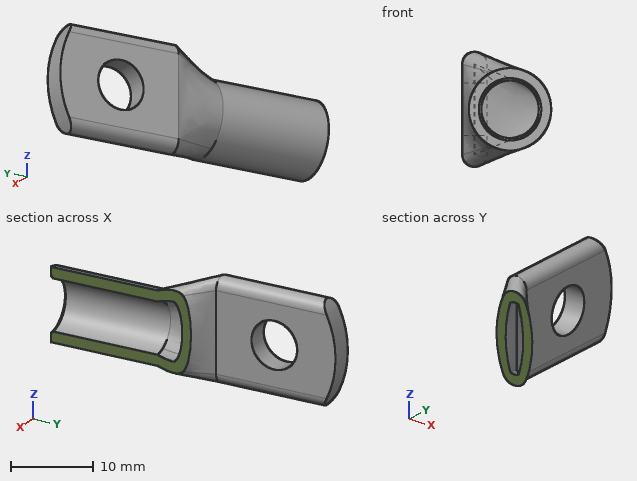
import cadquery as cq
import math

total_length = 38.6
tube_diameter = 10.05
bore_diameter = 7.0
tube_length = 15.0
mouth_diameter = 7.6
mouth_chamfer = (mouth_diameter - bore_diameter) / 2

palm_length = 16.8
palm_width = 14.0
wall = 1.5
palm_thickness = 2 * wall
palm_back_x = -5.83
palm_center_x = palm_back_x + palm_thickness / 2
palm_start = total_length - palm_length
tip_rise = 2.1
bolt_hole_diameter = 6.4
bolt_hole_to_tip = 8.6

slit_thickness = 0.08
slit_width = palm_width - palm_thickness

flat_side_half_angle = math.radians(63)


def four_part_outline(y, corner_x, corner_z, center_x, side_x, end_z):
    """Closed outline at Y = y; side_x None makes the two X-facing sides straight."""
    def point(x, z):
        return cq.Vector(center_x + x, y, z)

    def side(sign):
        start = point(sign * corner_x, -sign * corner_z)
        end = point(sign * corner_x, sign * corner_z)
        if side_x is None:
            return cq.Edge.makeLine(start, end)
        return cq.Edge.makeThreePointArc(start, point(sign * side_x, 0), end)

    def end_cap(sign):
        return cq.Edge.makeThreePointArc(
            point(sign * corner_x, sign * corner_z),
            point(0, sign * end_z),
            point(-sign * corner_x, sign * corner_z),
        )

    return cq.Wire.assembleEdges([side(1), end_cap(1), side(-1), end_cap(-1)])


def round_outline(y, diameter):
    radius = diameter / 2
    corner_x = radius * math.cos(flat_side_half_angle)
    corner_z = radius * math.sin(flat_side_half_angle)
    return four_part_outline(y, corner_x, corner_z, 0, radius, radius)


def flattened_outline(y, width, thickness):
    half_thickness = thickness / 2
    straight_half = width / 2 - half_thickness
    return four_part_outline(y, half_thickness, straight_half, palm_center_x, None, width / 2)


def transition(diameter, width, thickness):
    """Ruled body from the round tube to the flattened palm."""
    start = round_outline(tube_length, diameter)
    end = flattened_outline(palm_start, width, thickness)
    return cq.Workplane(obj=cq.Solid.makeLoft([start, end], True))


def cylinder_along_y(diameter, length):
    return cq.Workplane("XZ").circle(diameter / 2).extrude(-length)


def make_palm():
    outline = flattened_outline(palm_start, palm_width, palm_thickness)
    bar = cq.Workplane(obj=cq.Solid.extrudeLinear(outline, [], cq.Vector(0, palm_length, 0)))
    half_width = palm_width / 2
    shoulder_y = total_length - tip_rise
    profile = (
        cq.Workplane("YZ", origin=(palm_back_x, 0, 0))
        .moveTo(palm_start, -half_width)
        .lineTo(shoulder_y, -half_width)
        .threePointArc((total_length, 0), (shoulder_y, half_width))
        .lineTo(palm_start, half_width)
        .close()
        .extrude(palm_thickness)
    )
    bolt_hole = (
        cq.Workplane("YZ", origin=(palm_back_x, 0, 0))
        .center(total_length - bolt_hole_to_tip, 0)
        .circle(bolt_hole_diameter / 2)
        .extrude(palm_thickness)
    )
    return bar.intersect(profile).cut(bolt_hole)


tube = cylinder_along_y(tube_diameter, tube_length)
neck = transition(tube_diameter, palm_width, palm_thickness)
body = tube.union(neck).union(make_palm())

bore = cylinder_along_y(bore_diameter, tube_length)
bore_end = transition(bore_diameter, slit_width, slit_thickness)
mouth = cq.Workplane(
    obj=cq.Solid.makeCone(
        mouth_diameter / 2, bore_diameter / 2, mouth_chamfer, cq.Vector(0, 0, 0), cq.Vector(0, 1, 0)
    )
)

result = body.cut(bore).cut(bore_end).cut(mouth)